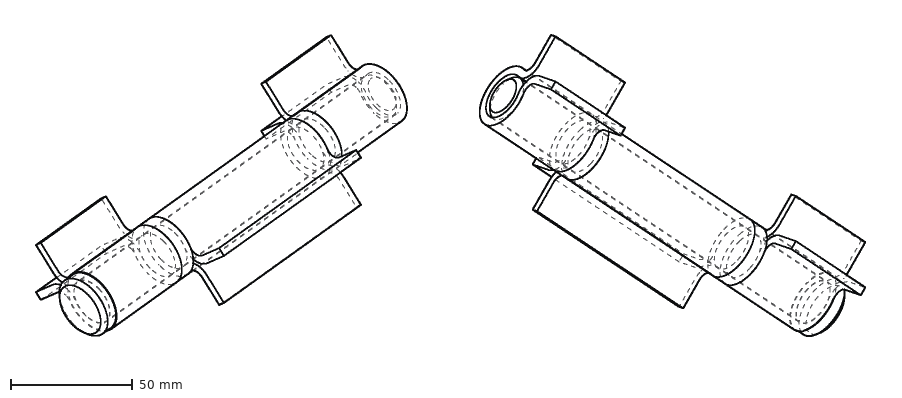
import cadquery as cq
import math


total_length = 185.0
end_knuckle_length = 40.0
washer_thickness = 7.0
head_length = 7.0
middle_knuckle_length = total_length - head_length - 2 * end_knuckle_length - 2 * washer_thickness

knuckle_diameter = 28.0
bore_diameter = 20.4
shaft_diameter = 19.8
head_diameter = 27.0
head_chamfer = 2.0
shaft_end_chamfer = 2.0

sheet_thickness = (knuckle_diameter - bore_diameter) / 2
bend_inner_radius = 4.0
slit_width = 1.7
wing_span = 62.0
wing_reach = wing_span / 2
wing_angle = math.radians(45)

head_start = -total_length / 2
front_knuckle_start = head_start + head_length
front_washer_start = front_knuckle_start + end_knuckle_length
middle_knuckle_start = front_washer_start + washer_thickness
rear_washer_start = middle_knuckle_start + middle_knuckle_length
rear_knuckle_start = rear_washer_start + washer_thickness
hinge_end = total_length / 2


def polar(center, radius, angle):
    """Point in the X-Z plane at a radius and angle around a center."""
    return (center[0] + radius * math.cos(angle), center[1] + radius * math.sin(angle))


def below(point):
    """Mirror image of a point in the X-Z plane, on the other side of the X axis."""
    return (point[0], -point[1])


def along_y(y_start):
    """Sketch plane across the hinge axis: local x is +X, local y is +Z, negative extrusions go to +Y."""
    return cq.Workplane(cq.Plane(origin=(0, y_start, 0), xDir=(1, 0, 0), normal=(0, -1, 0)))


def make_knuckle(y_start, length, wing_side):
    """Rolled sheet with two wings on the -X side (wing_side = -1) or the +X side (wing_side = 1)."""
    axis = (0, 0)
    outer_radius = knuckle_diameter / 2
    bore_radius = bore_diameter / 2
    bend_outer_radius = bend_inner_radius + sheet_thickness

    bend_height = slit_width / 2 + bend_outer_radius
    bend_distance = outer_radius + bend_inner_radius
    bend_center = (-math.sqrt(bend_distance**2 - bend_height**2), bend_height)

    barrel_end = math.atan2(bend_center[1], bend_center[0])
    bend_start = barrel_end - math.pi
    bend_end = -math.pi / 2 - wing_angle
    bend_middle = (bend_start + bend_end) / 2

    outer_barrel_end = polar(axis, outer_radius, barrel_end)
    outer_bend_middle = polar(bend_center, bend_inner_radius, bend_middle)
    outer_wing_root = polar(bend_center, bend_inner_radius, bend_end)
    bore_end = polar(axis, bore_radius, barrel_end)
    inner_bend_middle = polar(bend_center, bend_outer_radius, bend_middle)
    inner_wing_root = polar(bend_center, bend_outer_radius, bend_end)

    wing_length = (wing_reach + inner_wing_root[0]) / math.cos(wing_angle)
    wing_direction = math.pi - wing_angle
    outer_wing_tip = polar(outer_wing_root, wing_length, wing_direction)
    inner_wing_tip = polar(inner_wing_root, wing_length, wing_direction)

    knuckle = (
        along_y(y_start)
        .moveTo(*below(outer_barrel_end))
        .threePointArc((outer_radius, 0), outer_barrel_end)
        .threePointArc(outer_bend_middle, outer_wing_root)
        .lineTo(*outer_wing_tip)
        .lineTo(*inner_wing_tip)
        .lineTo(*inner_wing_root)
        .threePointArc(inner_bend_middle, bore_end)
        .threePointArc((bore_radius, 0), below(bore_end))
        .threePointArc(below(inner_bend_middle), below(inner_wing_root))
        .lineTo(*below(inner_wing_tip))
        .lineTo(*below(outer_wing_tip))
        .lineTo(*below(outer_wing_root))
        .threePointArc(below(outer_bend_middle), below(outer_barrel_end))
        .close()
        .extrude(-length)
    )
    if wing_side > 0:
        knuckle = knuckle.mirror("YZ")
    return knuckle


def make_washer(y_start):
    """Spacer ring between two knuckles."""
    return (
        along_y(y_start)
        .circle(knuckle_diameter / 2)
        .circle(bore_diameter / 2)
        .extrude(-washer_thickness)
    )


def make_pin():
    """Shaft through all knuckles and washers, with a chamfered head at the -Y end."""
    head = (
        along_y(head_start)
        .circle(head_diameter / 2)
        .extrude(-head_length)
        .faces("<Y")
        .chamfer(head_chamfer)
    )
    shaft = (
        along_y(front_knuckle_start)
        .circle(shaft_diameter / 2)
        .extrude(-(hinge_end - front_knuckle_start))
        .faces(">Y")
        .chamfer(shaft_end_chamfer)
    )
    return head.union(shaft)


end_knuckles = [
    make_knuckle(y_start, end_knuckle_length, wing_side=-1)
    for y_start in (front_knuckle_start, rear_knuckle_start)
]
middle_knuckle = make_knuckle(middle_knuckle_start, middle_knuckle_length, wing_side=1)
washers = [make_washer(y_start) for y_start in (front_washer_start, rear_washer_start)]
pin = make_pin()

result = cq.Compound.makeCompound([
    *[knuckle.val() for knuckle in end_knuckles],
    middle_knuckle.val(),
    *[washer.val() for washer in washers],
    pin.val(),
])